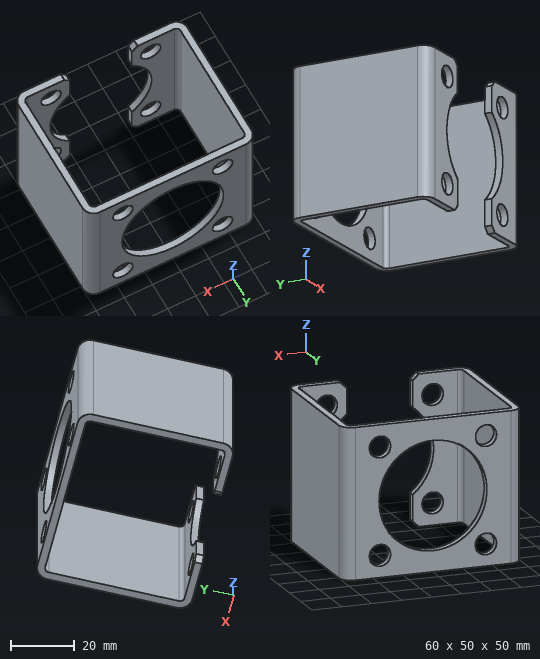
import cadquery as cq

width = 60.0
depth = 50.0
height = 50.0

thickness = 2.5
bend_outer_radius = 4.0
bend_inner_radius = bend_outer_radius - thickness

gap_width = 22.0
lip_chamfer = 2.0

bore_diameter = 36.0
bolt_diameter = 7.0
bolt_spacing = 35.4


def rounded_block(size_x, size_y, corner_radius):
    """Full-height block with rounded vertical edges, centred on the origin."""
    block = cq.Workplane("XY").box(size_x, size_y, height)
    return block.edges("|Z").fillet(corner_radius)


def lip_gap():
    """Cutter that separates the lips and chamfers their free corners."""
    half_gap = gap_width / 2
    half_mouth = half_gap + lip_chamfer
    half_height = height / 2
    chamfer_start = half_height - lip_chamfer
    outline = [
        (-half_mouth, -half_height),
        (half_mouth, -half_height),
        (half_gap, -chamfer_start),
        (half_gap, chamfer_start),
        (half_mouth, half_height),
        (-half_mouth, half_height),
        (-half_gap, chamfer_start),
        (-half_gap, -chamfer_start),
    ]
    return cq.Workplane("XZ").polyline(outline).close().extrude(depth)


def hole_pattern():
    """Central bore and four bolt holes, running through front and back."""
    bore = cq.Workplane("XZ").circle(bore_diameter / 2).extrude(depth, both=True)
    bolts = (
        cq.Workplane("XZ")
        .rect(bolt_spacing, bolt_spacing, forConstruction=True)
        .vertices()
        .circle(bolt_diameter / 2)
        .extrude(depth, both=True)
    )
    return bore.union(bolts)


outer = rounded_block(width, depth, bend_outer_radius)
inner = rounded_block(width - 2 * thickness, depth - 2 * thickness, bend_inner_radius)

result = outer.cut(inner).cut(lip_gap()).cut(hole_pattern())